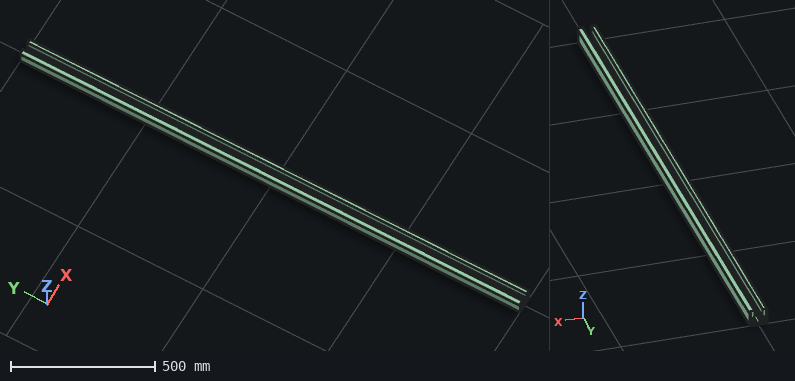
import cadquery as cq

WIDTH = 65.0
LENGTH = 2000.0
HEIGHT = 60.0
CORNER_RADIUS = 4.5

WALL = 5.0
LIP_THICKNESS = 10.0
WALL_HEIGHT = HEIGHT - LIP_THICKNESS

SLOT_WIDTH = 30.0
CAVITY_WIDTH = 40.0
CAVITY_TOP = 30.0
SIDE_FLOOR = 12.0
MIDDLE_FLOOR = 10.0

RIB_SPACING = 18.0
RIB_THICKNESS = 2.0
RIB_TOP = 15.0

CORE_WIDTH = WIDTH - 2 * WALL


def bar(width, bottom, top, center_x=0.0):
    """Full-length rectangular bar between two heights above the underside."""
    center_z = (bottom + top - HEIGHT) / 2
    block = cq.Workplane("XY").box(width, LENGTH, top - bottom)
    return block.translate((center_x, 0, center_z))


def make_channel():
    """Outer U: floor and two side walls, rounded along the lower outer corners."""
    channel = bar(WIDTH, 0, WALL_HEIGHT).edges("|Y and <Z").fillet(CORNER_RADIUS)
    return channel.cut(bar(CORE_WIDTH, WALL, WALL_HEIGHT))


def make_slotted_profile():
    """Inner profile filling the channel, with lips resting on the channel walls."""
    lips = bar(WIDTH, WALL_HEIGHT, HEIGHT).edges("|Y and >Z").fillet(CORNER_RADIUS)
    profile = bar(CORE_WIDTH, WALL, WALL_HEIGHT).union(lips)

    profile = profile.cut(bar(SLOT_WIDTH, SIDE_FLOOR, HEIGHT))
    profile = profile.cut(bar(CAVITY_WIDTH, SIDE_FLOOR, CAVITY_TOP))
    profile = profile.cut(bar(RIB_SPACING, MIDDLE_FLOOR, SIDE_FLOOR))

    for side in (-1, 1):
        rib_x = side * RIB_SPACING / 2
        profile = profile.union(bar(RIB_THICKNESS, MIDDLE_FLOOR, RIB_TOP, rib_x))
    return profile.clean()


channel = make_channel()
slotted_profile = make_slotted_profile()

result = cq.Compound.makeCompound([channel.solids().val(), slotted_profile.solids().val()])